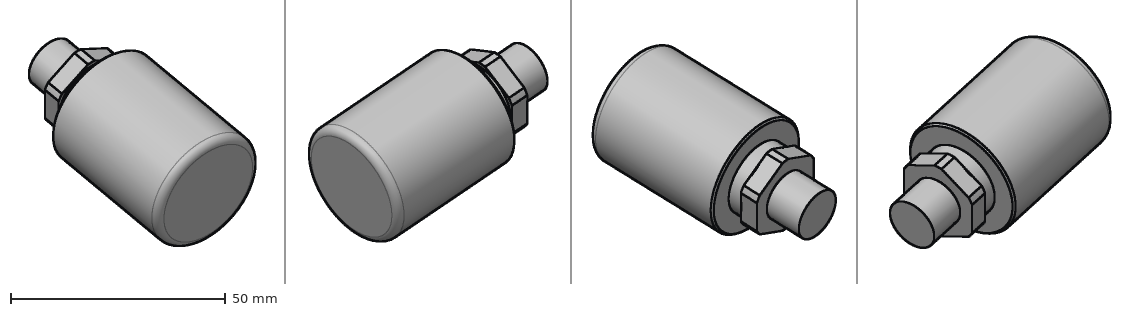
import cadquery as cq
import math

total_length = 57.4
body_diameter = 31.0
stem_diameter = 13.05
stem_length = 10.0
neck_diameter = 19.5
neck_length = 4.0
nut_thickness = 5.0
nut_across_flats = 20.0
nut_corner_diameter = 22.0
body_chamfer = 0.5
body_fillet = 2.0

stem_start = -total_length / 2
nut_start = stem_start + stem_length
neck_start = nut_start + nut_thickness
body_start = neck_start + neck_length
body_length = total_length / 2 - body_start


def cylinder(start, length, diameter):
    """Cylinder along +X from the given station."""
    return cq.Workplane("YZ", origin=(start, 0, 0)).circle(diameter / 2).extrude(length)


def hex_nut():
    """Hexagon with corners at +Z and -Z, its corners turned down to a cylinder."""
    across_corners = nut_across_flats / math.cos(math.pi / 6)
    hexagon = (
        cq.Workplane("YZ", origin=(nut_start, 0, 0))
        .transformed(rotate=(0, 0, 90))
        .polygon(6, across_corners)
        .extrude(nut_thickness)
    )
    return hexagon.intersect(cylinder(nut_start, nut_thickness, nut_corner_diameter))


def body():
    """Main cylinder, chamfered at the neck end and rounded at the far end."""
    blank = cylinder(body_start, body_length, body_diameter)
    return blank.faces("<X").edges().chamfer(body_chamfer).faces(">X").edges().fillet(body_fillet)


stem = cylinder(stem_start, stem_length, stem_diameter)
neck = cylinder(neck_start, neck_length, neck_diameter)

result = body().union(neck).union(hex_nut()).union(stem)